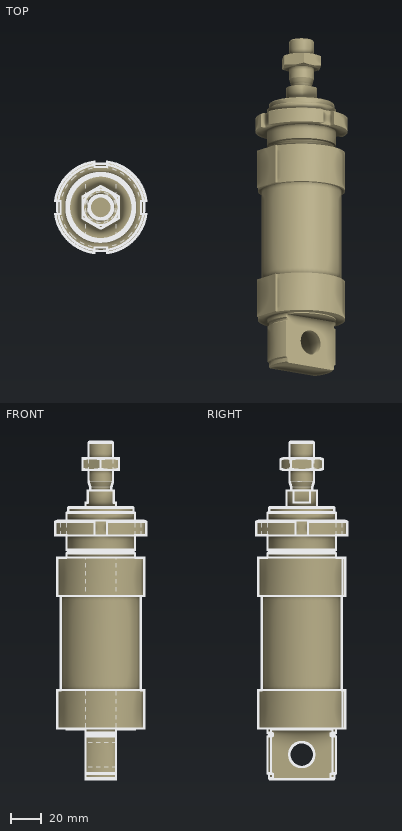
import cadquery as cq
import math

total_height = 220.2
housing_height = 177.5

collar_diameter = 57.0
collar_length = 25.0
tube_diameter = 52.5
neck_length = 33.0
neck_diameter = 45.0
neck_land_diameter = 42.7
neck_end_diameter = 41.5
neck_end_chamfer = 0.7
neck_land_length = 3.3
neck_shoulder_length = 0.7
groove_diameter = 42.7
groove_start = 27.7
groove_width = 2.6
groove_wall_length = 0.7
port_pad_width = 20.0
port_pad_reach = collar_diameter / 2
tang_thickness = 20.0
tang_length = 32.4
pin_hole_diameter = 16.0
pin_hole_height = 16.0

rod_diameter = 20.0
rod_shoulder_height = 188.3
thread_diameter = 16.0
thread_start_height = 194.0
tip_diameter = 14.3
undercut_diameter = 13.9
undercut_flare_length = 3.5
undercut_fillet = 0.7
wrench_flat_width = 17.0
wrench_flat_bottom = 180.3

hex_side_count = 6
hex_across_flats = 24.0
hex_nut_bottom = 201.5
hex_nut_thickness = 8.0
hex_face_diameter = 23.1
hex_chamfer_angle = 20.0

lock_nut_diameter = 60.1
lock_nut_bottom = 159.0
lock_nut_thickness = 9.7
lock_nut_chamfer_width = 2.0
lock_nut_chamfer_height = 0.9
slot_width = 8.4
slot_floor_radius = 26.2
slot_count = 4


def cylinder(diameter, bottom, height):
    return cq.Workplane("XY").workplane(offset=bottom).circle(diameter / 2).extrude(height)


def revolve_about_z(profile):
    return profile.close().revolve(360, (0, 0, 0), (0, 1, 0))


def make_neck():
    """Grooved neck with its end face at Z = 0 and its root at Z = neck_length."""
    radius = neck_diameter / 2
    land_radius = neck_land_diameter / 2
    groove_radius = groove_diameter / 2
    groove_end = groove_start + groove_width
    return revolve_about_z(
        cq.Workplane("XZ")
        .moveTo(0, 0)
        .lineTo(neck_end_diameter / 2, 0)
        .lineTo(land_radius, neck_end_chamfer)
        .lineTo(land_radius, neck_land_length)
        .lineTo(radius, neck_land_length + neck_shoulder_length)
        .lineTo(radius, groove_start)
        .lineTo(groove_radius, groove_start + groove_wall_length)
        .lineTo(groove_radius, groove_end - groove_wall_length)
        .lineTo(radius, groove_end)
        .lineTo(radius, neck_length)
        .lineTo(0, neck_length)
    )


def make_collar(bottom):
    """Round collar with a flat port pad on its +Y side."""
    pad = (
        cq.Workplane("XY")
        .workplane(offset=bottom)
        .center(0, port_pad_reach / 2)
        .rect(port_pad_width, port_pad_reach)
        .extrude(collar_length)
    )
    return cylinder(collar_diameter, bottom, collar_length).union(pad)


def make_rear_tang():
    """Rear neck cut down to a flat tang with a cross pin hole along X."""
    side_cut_depth = neck_diameter
    neck = make_neck()
    for side in (-1, 1):
        side_cut = cq.Workplane("XY").box(side_cut_depth, 2 * neck_diameter, tang_length, (True, True, False))
        neck = neck.cut(side_cut.translate((side * (tang_thickness + side_cut_depth) / 2, 0, 0)))
    pin_hole = (
        cq.Workplane("YZ")
        .center(0, pin_hole_height)
        .circle(pin_hole_diameter / 2)
        .extrude(tang_thickness, both=True)
    )
    return neck.cut(pin_hole)


def make_housing():
    front_collar_top = housing_height - neck_length
    tube = cylinder(tube_diameter, neck_length, front_collar_top - neck_length)
    front_neck = make_neck().rotate((0, 0, 0), (1, 0, 0), 180)
    front_neck = front_neck.translate((0, 0, housing_height))
    housing = tube.union(make_collar(neck_length)).union(make_collar(front_collar_top - collar_length))
    return housing.union(front_neck).union(make_rear_tang())


def make_rod():
    """Rod end: shank with wrench flats, filleted undercut, and stud."""
    thread_radius = thread_diameter / 2
    undercut_radius = undercut_diameter / 2
    tip_radius = tip_diameter / 2
    fillet_middle = (
        undercut_radius + undercut_fillet * (1 - math.sqrt(0.5)),
        rod_shoulder_height + undercut_fillet * (1 - math.sqrt(0.5)),
    )
    rod = revolve_about_z(
        cq.Workplane("XZ")
        .moveTo(0, housing_height)
        .lineTo(rod_diameter / 2, housing_height)
        .lineTo(rod_diameter / 2, rod_shoulder_height)
        .lineTo(undercut_radius + undercut_fillet, rod_shoulder_height)
        .threePointArc(fillet_middle, (undercut_radius, rod_shoulder_height + undercut_fillet))
        .lineTo(undercut_radius, thread_start_height - undercut_flare_length)
        .lineTo(thread_radius, thread_start_height)
        .lineTo(thread_radius, total_height - (thread_radius - tip_radius))
        .lineTo(tip_radius, total_height)
        .lineTo(0, total_height)
    )
    flat_height = rod_shoulder_height - wrench_flat_bottom
    for side in (-1, 1):
        flat_cut = cq.Workplane("XY").box(rod_diameter, rod_diameter, flat_height, (True, True, False))
        flat_offset = side * (wrench_flat_width + rod_diameter) / 2
        rod = rod.cut(flat_cut.translate((flat_offset, 0, wrench_flat_bottom)))
    return rod


def make_hex_nut():
    """Hexagonal nut with corners on the Y axis and coned corners on both faces."""
    across_corners = hex_across_flats / math.cos(math.pi / hex_side_count)
    corner_radius = across_corners / 2
    face_radius = hex_face_diameter / 2
    cone_height = (corner_radius - face_radius) * math.tan(math.radians(hex_chamfer_angle))
    hexagon = (
        cq.Workplane("XY")
        .polygon(hex_side_count, across_corners)
        .extrude(hex_nut_thickness)
        .rotate((0, 0, 0), (0, 0, 1), 90)
    )
    coned_blank = revolve_about_z(
        cq.Workplane("XZ")
        .moveTo(0, 0)
        .lineTo(face_radius, 0)
        .lineTo(corner_radius, cone_height)
        .lineTo(corner_radius, hex_nut_thickness - cone_height)
        .lineTo(face_radius, hex_nut_thickness)
        .lineTo(0, hex_nut_thickness)
    )
    bore = cylinder(thread_diameter, 0, hex_nut_thickness)
    return hexagon.intersect(coned_blank).cut(bore).translate((0, 0, hex_nut_bottom))


def make_lock_nut():
    """Round nut with a chamfered top edge and open slots around its rim."""
    outer_radius = lock_nut_diameter / 2
    inner_radius = neck_diameter / 2
    top = lock_nut_bottom + lock_nut_thickness
    nut = revolve_about_z(
        cq.Workplane("XZ")
        .moveTo(inner_radius, lock_nut_bottom)
        .lineTo(outer_radius, lock_nut_bottom)
        .lineTo(outer_radius, top - lock_nut_chamfer_height)
        .lineTo(outer_radius - lock_nut_chamfer_width, top)
        .lineTo(inner_radius, top)
    )
    for index in range(slot_count):
        slot = cq.Workplane("XY").box(outer_radius, slot_width, lock_nut_thickness, (False, True, False))
        slot = slot.translate((slot_floor_radius, 0, lock_nut_bottom))
        nut = nut.cut(slot.rotate((0, 0, 0), (0, 0, 1), index * 360 / slot_count))
    return nut


housing = make_housing()
rod = make_rod()
hex_nut = make_hex_nut()
lock_nut = make_lock_nut()

bodies = [housing, rod, hex_nut, lock_nut]
result = cq.Compound.makeCompound([body.solids().val() for body in bodies])